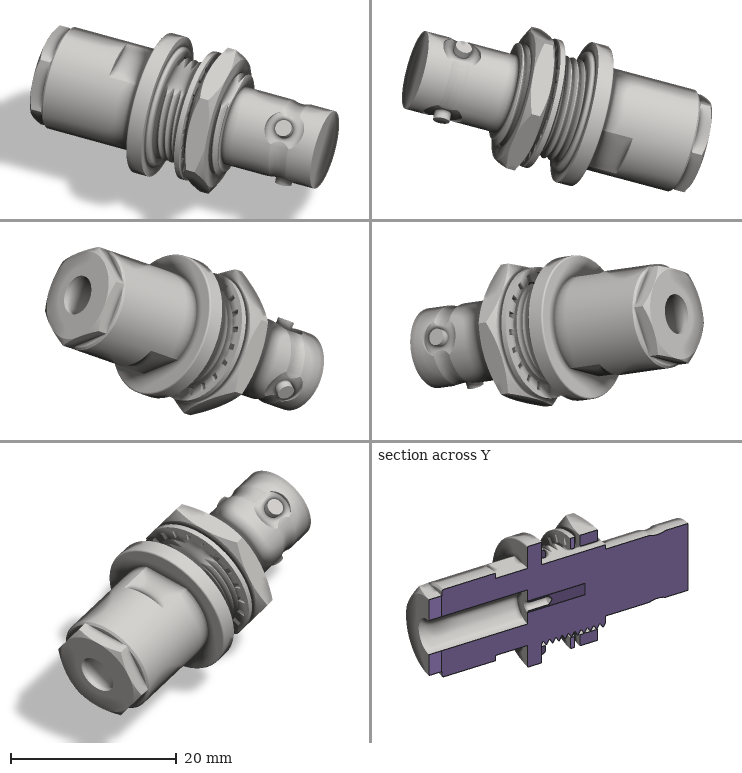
import cadquery as cq
import math

ORIGIN = (0, 0, 0)
AXIS = (1, 0, 0)
HEX_CHAMFER_ANGLE = math.radians(30)

OVERALL_LENGTH = 36.07
GLAND_END = 1.76
WRENCH_FLAT_START = 9.28
FLANGE_START = 13.7
FLANGE_END = 15.7
GASKET_END = FLANGE_END + 0.54
WASHER_START = 19.65
WASHER_THICKNESS = 0.63
NUT_START = 21.0
NUT_THICKNESS = 2.5
THREAD_END = 24.57
BAYONET_STATION = 31.78

GLAND_ACROSS_FLATS = 11.0
CABLE_BORE_DIAMETER = 4.86
CABLE_BORE_END = FLANGE_START

SLEEVE_RADIUS = 6.35
FLANGE_RADIUS = 8.75
SLEEVE_CHAMFER = 0.25
FLANGE_FILLET = 0.2
WRENCH_FLAT_HEIGHT = 5.59
BARREL_RADIUS = 4.86

THREAD_RADIUS = 6.35
THREAD_PITCH = 0.875
THREAD_DEPTH = 0.6
THREAD_LAND = 0.09
THREAD_FLAT_HEIGHT = 5.5
THREAD_CREST_STATION = 16.57
GROOVE_TURNS = 13
GROOVE_LEAD_TURNS = 2.75
GROOVE_OVERSHOOT = 0.02
BAR_MARGIN = 4.0

LUG_COUNT = 3
LUG_RADIUS = 1.02
LUG_TIP = 5.45
SPOTFACE_RADIUS = 2.43
SPOTFACE_FLOOR = 4.4
RELIEF_WIDTH = 2.25
RELIEF_DEPTH = 0.22

GASKET_RADIUS = 7.55
GASKET_FILLET = 0.5

WASHER_RADIUS = 8.0
TOOTH_COUNT = 20
TOOTH_GAP_WIDTH = 0.7
TOOTH_GAP_RADIUS = 7.35

NUT_ACROSS_FLATS = 16.0

CONTACT_RADIUS = 0.77
CONTACT_LENGTH = 8.0
CONTACT_BORE_RADIUS = 0.58
CONTACT_BORE_DEPTH = 3.0
CONTACT_POINT_DEPTH = 0.4


def cylinder(start, end, radius):
    """Round bar along X between two stations."""
    return cq.Workplane("YZ", origin=(start, 0, 0)).circle(radius).extrude(end - start)


def revolved(points):
    """Solid of revolution about X from (station, radius) points."""
    return cq.Workplane("XY").polyline(points).close().revolve(360, ORIGIN, AXIS)


def hexagon(start, end, across_flats, chamfer_end):
    """Hexagonal bar, flats at +Z and -Z, with its corners chamfered at 30 degrees."""
    flat_radius = across_flats / 2
    corner_radius = flat_radius / math.cos(math.pi / 6)
    drop = (corner_radius - flat_radius) * math.tan(HEX_CHAMFER_ANGLE)
    bar = cq.Workplane("YZ", origin=(start, 0, 0)).polygon(6, 2 * corner_radius).extrude(end - start)
    envelope = [(start, 0), (start, flat_radius), (start + drop, corner_radius)]
    if chamfer_end:
        envelope += [(end - drop, corner_radius), (end, flat_radius)]
    else:
        envelope += [(end, corner_radius)]
    envelope += [(end, 0)]
    return bar.intersect(revolved(envelope))


def above(start, end, height, half_width):
    """Block that removes everything above a flat at the given height."""
    return (
        cq.Workplane("XY", origin=((start + end) / 2, 0, height))
        .rect(end - start, 2 * half_width)
        .extrude(half_width)
    )


def make_gland():
    head = hexagon(0, GLAND_END, GLAND_ACROSS_FLATS, chamfer_end=False)
    return head.cut(cylinder(0, GLAND_END, CABLE_BORE_DIAMETER / 2))


def make_sleeve():
    """Rear sleeve with two wrench flats next to the flange."""
    sleeve = cylinder(GLAND_END, FLANGE_START, SLEEVE_RADIUS).faces("<X").chamfer(SLEEVE_CHAMFER)
    flat_cutter = above(WRENCH_FLAT_START, FLANGE_START, WRENCH_FLAT_HEIGHT, SLEEVE_RADIUS)
    return sleeve.cut(flat_cutter).cut(flat_cutter.mirror("XY"))


def make_thread():
    """Right-hand threaded length with a flat along its top.

    The groove is cut in an overlong bar, so that both its ends lie in the lengths trimmed off.
    """
    root_radius = THREAD_RADIUS - THREAD_DEPTH
    half_root = THREAD_LAND / 2
    half_mouth = (THREAD_PITCH - THREAD_LAND) / 2
    half_outer = half_mouth + GROOVE_OVERSHOOT * (half_mouth - half_root) / THREAD_DEPTH
    outer_radius = THREAD_RADIUS + GROOVE_OVERSHOOT
    groove_start = THREAD_CREST_STATION - GROOVE_LEAD_TURNS * THREAD_PITCH
    helix = cq.Wire.makeHelix(THREAD_PITCH, GROOVE_TURNS * THREAD_PITCH, root_radius)
    groove = (
        cq.Workplane("XZ")
        .polyline([
            (root_radius, -half_root),
            (outer_radius, -half_outer),
            (outer_radius, half_outer),
            (root_radius, half_root),
        ])
        .close()
        .sweep(cq.Workplane(helix), isFrenet=True)
        .rotate(ORIGIN, (0, 1, 0), 90)
        .translate((groove_start, 0, 0))
    )
    bar = cylinder(FLANGE_END - BAR_MARGIN, THREAD_END + BAR_MARGIN, THREAD_RADIUS).cut(groove)
    thread = bar.intersect(cylinder(FLANGE_END, THREAD_END, FLANGE_RADIUS))
    return thread.cut(above(FLANGE_END, THREAD_END, THREAD_FLAT_HEIGHT, THREAD_RADIUS))


def make_barrel():
    """Coupling barrel with a concave relief groove and three bayonet lugs."""
    half_width = RELIEF_WIDTH / 2
    barrel = cylinder(THREAD_END, OVERALL_LENGTH, BARREL_RADIUS)
    relief = (
        cq.Workplane("XY")
        .moveTo(BAYONET_STATION - half_width, BARREL_RADIUS)
        .threePointArc(
            (BAYONET_STATION, BARREL_RADIUS - RELIEF_DEPTH),
            (BAYONET_STATION + half_width, BARREL_RADIUS),
        )
        .close()
        .revolve(360, ORIGIN, AXIS)
    )
    barrel = barrel.cut(relief)
    lug_plane = cq.Plane((BAYONET_STATION, 0, 0), xDir=(1, 0, 0), normal=(0, 1, 0))
    spotface = (
        cq.Workplane(lug_plane).workplane(offset=SPOTFACE_FLOOR)
        .circle(SPOTFACE_RADIUS).extrude(LUG_TIP - SPOTFACE_FLOOR)
    )
    lug = cq.Workplane(lug_plane).circle(LUG_RADIUS).extrude(LUG_TIP)
    for index in range(LUG_COUNT):
        angle = index * 360 / LUG_COUNT
        barrel = barrel.cut(spotface.rotate(ORIGIN, AXIS, angle))
        barrel = barrel.union(lug.rotate(ORIGIN, AXIS, angle))
    return barrel


def make_housing():
    flange = cylinder(FLANGE_START, FLANGE_END, FLANGE_RADIUS).faces("<X").edges().fillet(FLANGE_FILLET)
    housing = make_sleeve().union(flange).union(make_thread()).union(make_barrel())
    housing = housing.cut(cylinder(GLAND_END, CABLE_BORE_END, CABLE_BORE_DIAMETER / 2))
    return housing.cut(cylinder(CABLE_BORE_END, CABLE_BORE_END + CONTACT_LENGTH, CONTACT_RADIUS))


def make_gasket():
    disc = cylinder(FLANGE_END, GASKET_END, GASKET_RADIUS).faces(">X").edges().fillet(GASKET_FILLET)
    return disc.cut(cylinder(FLANGE_END, GASKET_END, THREAD_RADIUS))


def make_washer():
    """Flat ring with radial gaps between its teeth; a tooth is centred on +Y."""
    washer_end = WASHER_START + WASHER_THICKNESS
    washer = cylinder(WASHER_START, washer_end, WASHER_RADIUS)
    washer = washer.cut(cylinder(WASHER_START, washer_end, THREAD_RADIUS))
    gap = (
        cq.Workplane("YZ", origin=(WASHER_START, 0, 0))
        .center(TOOTH_GAP_RADIUS / 2, 0)
        .rect(TOOTH_GAP_RADIUS, TOOTH_GAP_WIDTH)
        .extrude(WASHER_THICKNESS)
    )
    for index in range(TOOTH_COUNT):
        angle = (index + 0.5) * 360 / TOOTH_COUNT
        washer = washer.cut(gap.rotate(ORIGIN, AXIS, angle))
    return washer


def make_nut():
    nut_end = NUT_START + NUT_THICKNESS
    nut = hexagon(NUT_START, nut_end, NUT_ACROSS_FLATS, chamfer_end=True)
    return nut.cut(cylinder(NUT_START, nut_end, THREAD_RADIUS))


def make_contact():
    """Solder-cup contact, flush with the floor of the cable bore; the cup has a conical bottom."""
    cup_floor = CABLE_BORE_END + CONTACT_BORE_DEPTH
    lip = CONTACT_RADIUS - CONTACT_BORE_RADIUS
    return revolved([
        (CABLE_BORE_END, CONTACT_RADIUS),
        (CABLE_BORE_END + lip, CONTACT_BORE_RADIUS),
        (cup_floor, CONTACT_BORE_RADIUS),
        (cup_floor + CONTACT_POINT_DEPTH, 0),
        (CABLE_BORE_END + CONTACT_LENGTH, 0),
        (CABLE_BORE_END + CONTACT_LENGTH, CONTACT_RADIUS),
    ])


gland = make_gland()
housing = make_housing()
gasket = make_gasket()
washer = make_washer()
nut = make_nut()
contact = make_contact()

result = cq.Compound.makeCompound([
    gland.solids().val(),
    housing.solids().val(),
    gasket.solids().val(),
    washer.solids().val(),
    nut.solids().val(),
    contact.solids().val(),
])